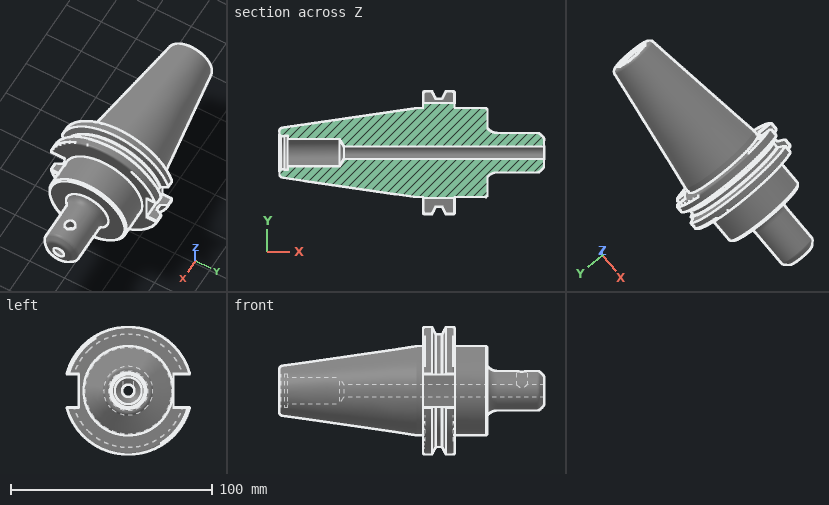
import cadquery as cq
import math

GAUGE_DIAMETER = 44.45
TAPER_RATIO = 7 / 24
TAPER_LENGTH = 68.25
TAPER_END_ROUND = 2.0

FLANGE_DIAMETER = 63.5
FLANGE_START = 3.175
FLANGE_END = 19.05
FLANGE_EDGE_ROUND = 1.0
GROOVE_CENTRE = (FLANGE_START + FLANGE_END) / 2
GROOVE_FLOOR_DIAMETER = 56.2
GROOVE_FLOOR_WIDTH = 3.2
GROOVE_HALF_ANGLE = 27
GROOVE_FLOOR_ROUND = 0.4

SLOT_WIDTH = 16.3
SLOT_EDGE_CHAMFER = 0.4
SLOT_FLOORS_Y = (-22.5, 24.7)

COLLAR_END = 35.3
COLLAR_CHAMFER = 0.8
SHANK_DIAMETER = 19.81
SHANK_END = 63.5
SHANK_NECK_LENGTH = 4.7
SHANK_NECK_RADIUS = 6.0
SHANK_NOSE_CHAMFER = 2.7
SHANK_NOSE_SIDE_ROUND = 1.7
SHANK_NOSE_END_ROUND = 2.4

THROUGH_DIAMETER = 6.0
THREAD_BORE_DIAMETER = 13.39
THREAD_BORE_DEPTH = 30.0
DRILL_POINT_ANGLE = 118
COUNTERBORE_DIAMETER = 16.3
COUNTERBORE_DEPTH = 2.6
RELIEF_DIAMETER = 16.8
RELIEF_END_DEPTH = 4.2
MOUTH_DIAMETER = 18.0
MOUTH_DEPTH = 1.0
PIN_HOLE_DIAMETER = 5.36
PIN_HOLE_X = 52.3

TOLERANCE = 0.01
BACK_FACE = -TAPER_LENGTH
GAUGE_RADIUS = GAUGE_DIAMETER / 2


def revolve_about_x(profile):
    return profile.close().revolve(360, (0, 0, 0), (1, 0, 0))


def round_circle(solid, x, radius, round_radius):
    """Round the circular edge of the given radius that lies around the X axis at x."""
    edges = [
        edge
        for edge in solid.edges("%CIRCLE").vals()
        if abs(edge.Center().x - x) < TOLERANCE and abs(edge.radius() - radius) < TOLERANCE
    ]
    return solid.newObject(edges).fillet(round_radius)


def body():
    back_radius = GAUGE_RADIUS - TAPER_LENGTH * TAPER_RATIO / 2
    flange_radius = FLANGE_DIAMETER / 2
    shank_radius = SHANK_DIAMETER / 2
    nose_start = SHANK_END - SHANK_NOSE_CHAMFER
    nose_radius = shank_radius - SHANK_NOSE_CHAMFER
    neck_end = COLLAR_END + SHANK_NECK_LENGTH
    neck_sweep = math.asin(SHANK_NECK_LENGTH / SHANK_NECK_RADIUS)

    def neck_point(angle):
        x = neck_end - SHANK_NECK_RADIUS * math.sin(angle)
        return x, shank_radius + SHANK_NECK_RADIUS * (1 - math.cos(angle))

    profile = (
        cq.Workplane("XY")
        .moveTo(BACK_FACE, 0)
        .lineTo(BACK_FACE, back_radius)
        .lineTo(0, GAUGE_RADIUS)
        .lineTo(FLANGE_START, GAUGE_RADIUS)
        .lineTo(FLANGE_START, flange_radius)
        .lineTo(FLANGE_END, flange_radius)
        .lineTo(FLANGE_END, GAUGE_RADIUS)
        .lineTo(COLLAR_END - COLLAR_CHAMFER, GAUGE_RADIUS)
        .lineTo(COLLAR_END, GAUGE_RADIUS - COLLAR_CHAMFER)
        .lineTo(*neck_point(neck_sweep))
        .threePointArc(neck_point(neck_sweep / 2), neck_point(0))
        .lineTo(nose_start, shank_radius)
        .lineTo(SHANK_END, nose_radius)
        .lineTo(SHANK_END, 0)
    )
    solid = revolve_about_x(profile)
    solid = round_circle(solid, BACK_FACE, back_radius, TAPER_END_ROUND)
    for flange_face in (FLANGE_START, FLANGE_END):
        solid = round_circle(solid, flange_face, flange_radius, FLANGE_EDGE_ROUND)
    solid = round_circle(solid, nose_start, shank_radius, SHANK_NOSE_SIDE_ROUND)
    return round_circle(solid, SHANK_END, nose_radius, SHANK_NOSE_END_ROUND)


def flange_groove():
    floor_radius = GROOVE_FLOOR_DIAMETER / 2
    rim_radius = FLANGE_DIAMETER / 2
    half_floor = GROOVE_FLOOR_WIDTH / 2
    half_rim = half_floor + (rim_radius - floor_radius) * math.tan(math.radians(GROOVE_HALF_ANGLE))
    ring = revolve_about_x(
        cq.Workplane("XY")
        .moveTo(GROOVE_CENTRE - half_floor, floor_radius)
        .lineTo(GROOVE_CENTRE + half_floor, floor_radius)
        .lineTo(GROOVE_CENTRE + half_rim, rim_radius)
        .lineTo(GROOVE_CENTRE - half_rim, rim_radius)
    )
    for floor_edge in (GROOVE_CENTRE - half_floor, GROOVE_CENTRE + half_floor):
        ring = round_circle(ring, floor_edge, floor_radius, GROOVE_FLOOR_ROUND)
    return ring


def cut_drive_slot(solid, floor_y):
    """Cut a slot across the flange down to floor_y and chamfer the outer edges of its walls."""
    length = FLANGE_END - FLANGE_START
    outer_y = math.copysign(FLANGE_DIAMETER / 2, floor_y)
    middle = (FLANGE_START + length / 2, (floor_y + outer_y) / 2, 0)
    slot = cq.Workplane("XY").box(length, abs(outer_y - floor_y), SLOT_WIDTH).translate(middle)
    solid = solid.cut(slot)

    wall_edges = []
    for wall_z in (-SLOT_WIDTH / 2, SLOT_WIDTH / 2):
        wall_centre = (middle[0], middle[1], wall_z)
        wall = solid.faces(cq.selectors.NearestToPointSelector(wall_centre))
        wall_edges += [edge for edge in wall.edges().vals() if abs(edge.Center().y - floor_y) > TOLERANCE]
    return solid.newObject(wall_edges).chamfer(SLOT_EDGE_CHAMFER)


def stepped_bore():
    bore_radius = THREAD_BORE_DIAMETER / 2
    through_radius = THROUGH_DIAMETER / 2
    bore_end = BACK_FACE + THREAD_BORE_DEPTH
    point_length = (bore_radius - through_radius) / math.tan(math.radians(DRILL_POINT_ANGLE / 2))
    counterbore_end = BACK_FACE + COUNTERBORE_DEPTH
    relief_end = BACK_FACE + RELIEF_END_DEPTH
    return revolve_about_x(
        cq.Workplane("XY")
        .moveTo(BACK_FACE, 0)
        .lineTo(BACK_FACE, MOUTH_DIAMETER / 2)
        .lineTo(BACK_FACE + MOUTH_DEPTH, COUNTERBORE_DIAMETER / 2)
        .lineTo(counterbore_end, COUNTERBORE_DIAMETER / 2)
        .lineTo(counterbore_end, RELIEF_DIAMETER / 2)
        .lineTo(relief_end, RELIEF_DIAMETER / 2)
        .lineTo(relief_end, bore_radius)
        .lineTo(bore_end, bore_radius)
        .lineTo(bore_end + point_length, through_radius)
        .lineTo(SHANK_END, through_radius)
        .lineTo(SHANK_END, 0)
    )


def pin_hole():
    return (
        cq.Workplane("XY")
        .center(PIN_HOLE_X, 0)
        .circle(PIN_HOLE_DIAMETER / 2)
        .extrude(SHANK_DIAMETER / 2)
    )


result = body()
for slot_floor_y in SLOT_FLOORS_Y:
    result = cut_drive_slot(result, slot_floor_y)
result = result.cut(flange_groove()).cut(stepped_bore()).cut(pin_hole())